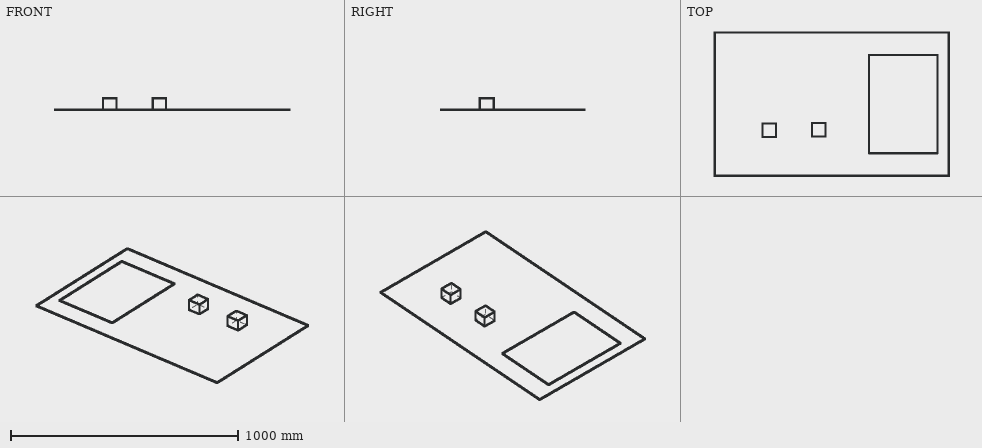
import cadquery as cq

plate_length = 1030.0
plate_width = 630.0
plate_thickness = 3.0
total_height = 53.0

window_length = 300.0
window_width = 431.0
window_end_margin = 50.0

block_side = 60.0
block_height = total_height - plate_thickness
block_corners = [(210.0, 170.0), (428.0, 172.0)]


def make_plate():
    """Flat plate with a through window near its +X end."""
    plate = cq.Workplane("XY").box(plate_length, plate_width, plate_thickness, centered=False)
    window = (
        cq.Workplane("XY")
        .box(window_length, window_width, plate_thickness, centered=False)
        .translate((
            plate_length - window_end_margin - window_length,
            (plate_width - window_width) / 2,
            0,
        ))
    )
    return plate.cut(window)


def make_block(corner_x, corner_y):
    """Square block resting on the plate's upper face."""
    return (
        cq.Workplane("XY")
        .box(block_side, block_side, block_height, centered=False)
        .translate((corner_x, corner_y, plate_thickness))
    )


plate = make_plate()
blocks = [make_block(x, y) for x, y in block_corners]

result = cq.Compound.makeCompound([plate.val(), *[block.val() for block in blocks]])